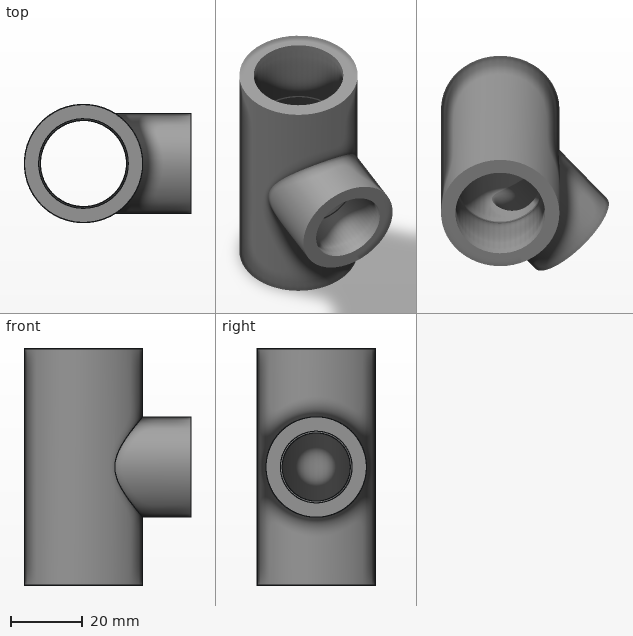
import cadquery as cq

run_length = 66.0
run_outer_diameter = 33.0
run_socket_diameter = 25.0
run_bore_diameter = 24.0
run_socket_depth = 19.0

branch_reach = 30.0
branch_outer_diameter = 28.0
branch_socket_diameter = 20.0
branch_bore_diameter = 19.0
branch_socket_depth = 16.0

run_half_length = run_length / 2


def run_cylinder(diameter, bottom, length):
    """Cylinder on the run axis (Z), starting at height bottom."""
    return cq.Workplane("XY").workplane(offset=bottom).circle(diameter / 2).extrude(length)


def branch_cylinder(diameter, start, length):
    """Cylinder on the branch axis (X), starting at distance start from the run axis."""
    return cq.Workplane("YZ").workplane(offset=start).circle(diameter / 2).extrude(length)


def outer_body():
    run = run_cylinder(run_outer_diameter, -run_half_length, run_length)
    return run.union(branch_cylinder(branch_outer_diameter, 0, branch_reach))


def run_passage():
    """Through bore of the run, widened to a socket at both ends."""
    passage = run_cylinder(run_bore_diameter, -run_half_length, run_length)
    for socket_bottom in (-run_half_length, run_half_length - run_socket_depth):
        passage = passage.union(run_cylinder(run_socket_diameter, socket_bottom, run_socket_depth))
    return passage


def branch_passage():
    """Bore from the run axis out through the branch, widened to a socket at its open end."""
    bore = branch_cylinder(branch_bore_diameter, 0, branch_reach)
    socket_start = branch_reach - branch_socket_depth
    return bore.union(branch_cylinder(branch_socket_diameter, socket_start, branch_socket_depth))


result = outer_body().cut(run_passage()).cut(branch_passage())